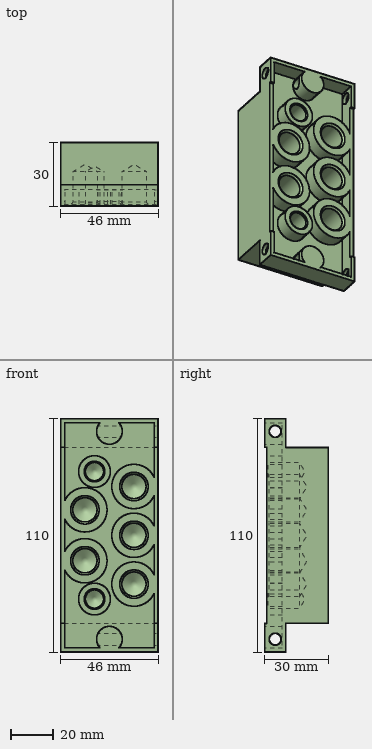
import math

import cadquery as cq

height = 110.0
width = 46.0
depth = 30.0
body_height = 82.9
flange_depth = 10.0
wall = 2.0
side_wall_step = 1.0
pocket_depth = 8.0

lug_radius = 6.0
lug_end_distance = 6.0
lug_z = height / 2 - lug_end_distance
lug_centers_z = (-lug_z, lug_z)
mount_hole_diameter = 5.5
mount_hole_y = flange_depth / 2

large_port_x = 11.5
three_port_pitch = 23.0
two_port_pitch = 24.0
large_boss_radius = 10.5
large_mouth_radius = 6.7
large_bore_radius = 5.7
large_ports = [(large_port_x, row * three_port_pitch) for row in (-1, 0, 1)]
large_ports += [(-large_port_x, side * two_port_pitch / 2) for side in (-1, 1)]

small_port_x = -7.0
small_port_z = 30.0
small_boss_radius = 7.5
small_mouth_radius = 4.8
small_bore_radius = 4.3
small_ports = [(small_port_x, side * small_port_z) for side in (-1, 1)]

bore_depth = 15.4
drill_point_angle = 118
tip_slope = 1 / math.tan(math.radians(drill_point_angle / 2))


def block(size_x, y_start, y_end, size_z):
    """Box centred on X and Z, running from y_start to y_end."""
    box = cq.Workplane("XY").box(size_x, y_end - y_start, size_z, centered=(True, False, True))
    return box.translate((0, y_start, 0))


def post(x, z, radius, y_start, y_end):
    """Round post along Y."""
    front_plane = cq.Workplane("XZ", origin=(x, y_start, z))
    return front_plane.circle(radius).extrude(y_start - y_end)


def port_bore(x, z, mouth_radius, bore_radius):
    """Blind bore along Y with a 45 degree countersunk mouth and a conical tip."""
    mouth_y = side_wall_step
    bore_end = mouth_y + bore_depth
    profile = (
        cq.Workplane("XY")
        .moveTo(0, mouth_y)
        .lineTo(mouth_radius, mouth_y)
        .lineTo(bore_radius, mouth_y + mouth_radius - bore_radius)
        .lineTo(bore_radius, bore_end)
        .lineTo(0, bore_end + tip_slope * bore_radius)
        .close()
    )
    return profile.revolve(360, (0, 0, 0), (0, 1, 0)).translate((x, 0, z))


def mount_hole(z):
    """Hole along X across the full width."""
    side_plane = cq.Workplane("YZ", origin=(-width / 2, mount_hole_y, z))
    return side_plane.circle(mount_hole_diameter / 2).extrude(width)


flange = block(width, 0, flange_depth, height)
body = block(width, flange_depth, depth, body_height)
result = flange.union(body)

result = result.cut(block(width, 0, side_wall_step, body_height))
result = result.cut(block(width - 2 * wall, 0, pocket_depth, height - 2 * wall))

for z in lug_centers_z:
    result = result.union(post(0, z, lug_radius, 0, flange_depth))

for x, z in large_ports:
    result = result.union(post(x, z, large_boss_radius, side_wall_step, flange_depth))
for x, z in small_ports:
    result = result.union(post(x, z, small_boss_radius, side_wall_step, flange_depth))

for x, z in large_ports:
    result = result.cut(port_bore(x, z, large_mouth_radius, large_bore_radius))
for x, z in small_ports:
    result = result.cut(port_bore(x, z, small_mouth_radius, small_bore_radius))

for z in lug_centers_z:
    result = result.cut(mount_hole(z))